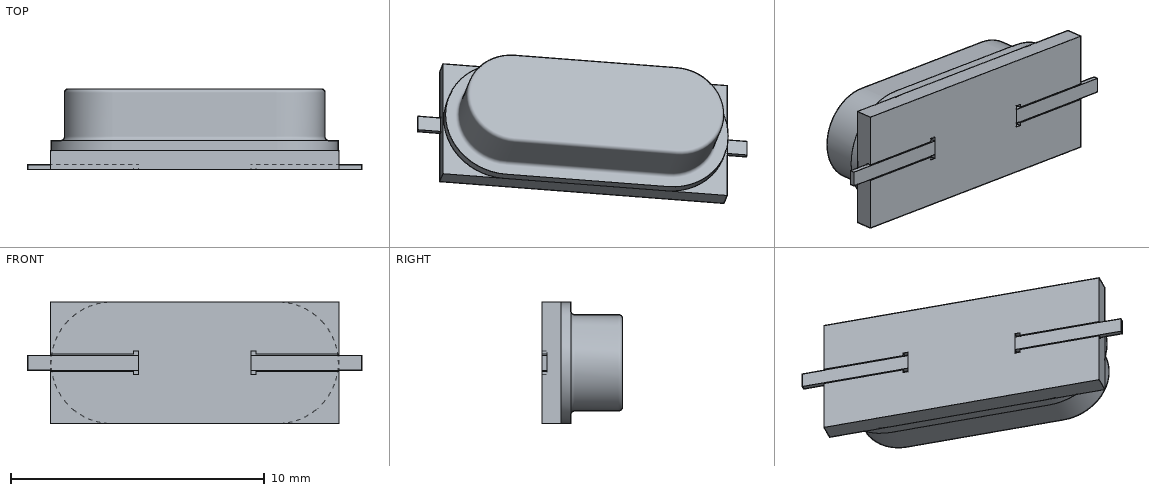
import cadquery as cq

TOTAL_LENGTH = 13.2
TOTAL_DEPTH = 3.2

BASE_LENGTH = 11.4
BASE_HEIGHT = 4.8
BASE_THICKNESS = 0.75

LEAD_LENGTH = 4.38
LEAD_WIDTH = 0.6
LEAD_THICKNESS = 0.2

SLOT_WIDTH = 0.67
SLOT_END_WIDTH = 0.91
SLOT_END_LENGTH = 0.2

FLANGE_LENGTH = 11.34
FLANGE_HEIGHT = BASE_HEIGHT
FLANGE_THICKNESS = 0.4
CAN_LENGTH = 10.3
CAN_HEIGHT = 3.8
CAN_FILLET = 0.16

LEAD_OUTER_X = TOTAL_LENGTH / 2
LEAD_INNER_X = LEAD_OUTER_X - LEAD_LENGTH
FLANGE_TOP_Y = BASE_THICKNESS + FLANGE_THICKNESS
SIDES = (-1, 1)


def block(x_start, x_end, depth, height):
    """Box between two X positions, centred on Z, rising from Y = 0."""
    length = abs(x_end - x_start)
    middle = (x_start + x_end) / 2
    return cq.Workplane("XY").box(length, depth, height).translate((middle, depth / 2, 0))


def round_ended_block(length, height, y_start, y_end):
    """Block with semicircular ends, extruded along +Y."""
    return (
        cq.Workplane("XZ")
        .workplane(offset=-y_start)
        .slot2D(length, height)
        .extrude(y_start - y_end)
    )


def make_base():
    half_length = BASE_LENGTH / 2
    base = block(-half_length, half_length, BASE_THICKNESS, BASE_HEIGHT)
    for side in SIDES:
        inner_x = side * LEAD_INNER_X
        slot_end_x = side * (LEAD_INNER_X + SLOT_END_LENGTH)
        base = base.cut(block(inner_x, side * half_length, LEAD_THICKNESS, SLOT_WIDTH))
        base = base.cut(block(inner_x, slot_end_x, LEAD_THICKNESS, SLOT_END_WIDTH))
    return base


def make_lead(side):
    return block(side * LEAD_INNER_X, side * LEAD_OUTER_X, LEAD_THICKNESS, LEAD_WIDTH)


def make_can():
    flange = round_ended_block(FLANGE_LENGTH, FLANGE_HEIGHT, BASE_THICKNESS, FLANGE_TOP_Y)
    shell = round_ended_block(CAN_LENGTH, CAN_HEIGHT, FLANGE_TOP_Y, TOTAL_DEPTH)
    can = flange.union(shell)
    can = can.faces(">Y").edges().fillet(CAN_FILLET)

    wall_foot = cq.selectors.BoxSelector(
        (-CAN_LENGTH, FLANGE_TOP_Y - FLANGE_THICKNESS / 2, -CAN_HEIGHT / 2 - CAN_FILLET),
        (CAN_LENGTH, FLANGE_TOP_Y + FLANGE_THICKNESS / 2, CAN_HEIGHT / 2 + CAN_FILLET),
        boundingbox=True,
    )
    return can.edges(wall_foot).fillet(CAN_FILLET)


base = make_base()
can = make_can()
leads = [make_lead(side) for side in SIDES]

result = cq.Compound.makeCompound([base.val(), can.val(), *[lead.val() for lead in leads]])